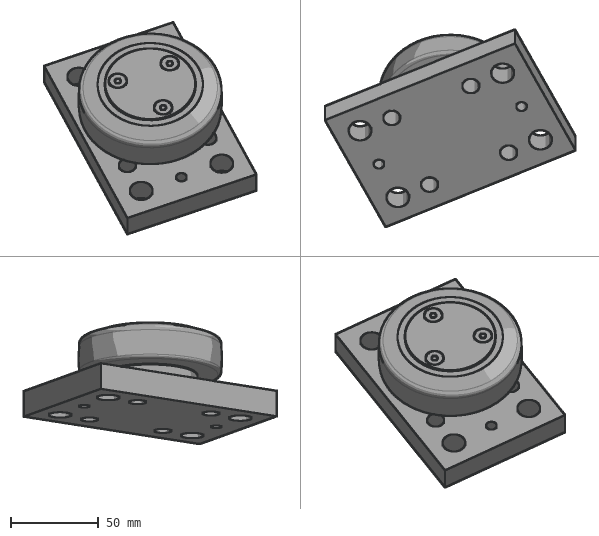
import cadquery as cq
import math

plate_length = 120
plate_width = 80.0
plate_height = 15.0
hole_row_x = 45.0
hole_row_y = 25.0
mount_hole_diameter = 13.0
dowel_hole_diameter = 6
inner_hole_diameter = 9.7

neck_diameter = 54
neck_chamfer = 0.7

roller_bottom = 24.6
roller_top = 47.9
roller_radius = 40.9
roller_edge_radius = 40.5
bottom_round = 2.0
crown_top = 41.0
cone_bottom_radius = 38.3
cone_bottom = 44.9
cone_top_radius = 30
shoulder_round_bulge = 0.7

cover_diameter = 52.0
cover_chamfer = 0.4
total_height = 48.5
screw_circle_radius = 18.6
screw_count = 3
screw_seat_diameter = 10.5
screw_head_diameter = 10.1
screw_seat_depth = 1.0
socket_across_corners = 3.7
socket_depth = 0.5


def cylinder(diameter, bottom, top):
    """Upright cylinder centred on the Z axis."""
    return cq.Workplane("XY").workplane(offset=bottom).circle(diameter / 2).extrude(top - bottom)


def make_plate():
    """Rectangular plate with its vertical through holes."""
    plate = cq.Workplane("XY").box(plate_length, plate_width, plate_height, centered=(True, True, False))
    top = plate.faces(">Z").workplane(origin=(0, 0, plate_height))
    plate = top.rarray(2 * hole_row_x, 2 * hole_row_y, 2, 2).hole(mount_hole_diameter)
    top = plate.faces(">Z").workplane(origin=(0, 0, plate_height))
    plate = top.rarray(2 * hole_row_x, 1.2, 2, 1).hole(dowel_hole_diameter)
    top = plate.faces(">Z").workplane(origin=(0, 0, plate_height))
    return top.rarray(2 * hole_row_y, 2 * hole_row_y, 2, 2).hole(inner_hole_diameter)


def make_roller():
    """Roller with a slightly crowned tread, rounded edges and a conical shoulder."""
    crown_bottom = roller_bottom + bottom_round
    crown_middle = (crown_bottom + crown_top) / 2
    round_middle_radius = (roller_edge_radius + cone_bottom_radius) / 2 + shoulder_round_bulge
    round_middle = (crown_top + cone_bottom) / 2 + shoulder_round_bulge
    corner_offset = bottom_round * (1 - math.sqrt(0.5))
    profile = (
        cq.Workplane("XZ")
        .moveTo(0, roller_bottom)
        .lineTo(roller_edge_radius - bottom_round, roller_bottom)
        .threePointArc(
            (roller_edge_radius - corner_offset, roller_bottom + corner_offset),
            (roller_edge_radius, crown_bottom),
        )
        .threePointArc((roller_radius, crown_middle), (roller_edge_radius, crown_top))
        .threePointArc((round_middle_radius, round_middle), (cone_bottom_radius, cone_bottom))
        .lineTo(cone_top_radius, roller_top)
        .lineTo(0, roller_top)
        .close()
    )
    return profile.revolve(360, (0, 0, 0), (0, 1, 0))


def cut_screws(body):
    """Cut a ring gap around each screw head and a hexagonal socket in its centre."""
    screws = (
        cq.Workplane("XY")
        .workplane(offset=total_height)
        .polarArray(screw_circle_radius, 0, 360, screw_count, rotate=False)
    )
    gaps = screws.circle(screw_seat_diameter / 2).extrude(-screw_seat_depth)
    heads = screws.circle(screw_head_diameter / 2).extrude(-screw_seat_depth)
    sockets = screws.polygon(6, socket_across_corners).extrude(-socket_depth)
    return body.cut(gaps.cut(heads)).cut(sockets)


neck = cylinder(neck_diameter, plate_height, roller_bottom).faces(">Z").chamfer(neck_chamfer)
cover = cylinder(cover_diameter, roller_top, total_height).faces(">Z").chamfer(cover_chamfer)

body = make_plate().union(neck).union(make_roller()).union(cover)
result = cut_screws(body)